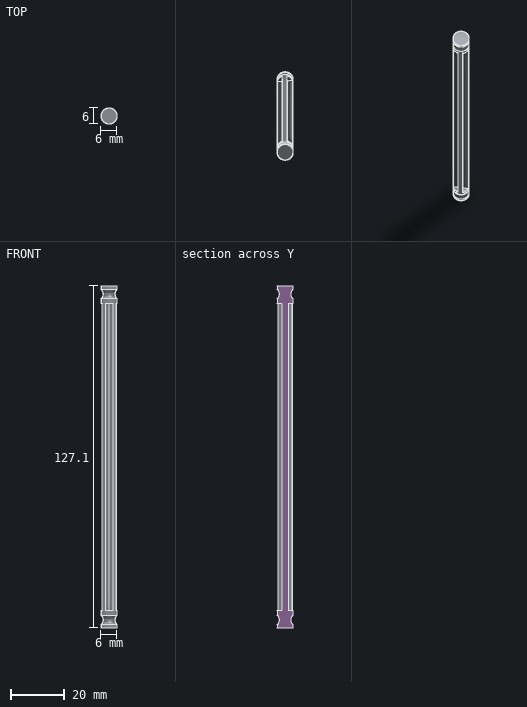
import cadquery as cq
import math

rod_length = 127.08
rod_diameter = 6.0
end_disc_height = 1.35
neck_height = 3.45
neck_diameter = 4.5
collar_height = 1.85
rib_thickness = 1.8
flute_count = 4

rod_radius = rod_diameter / 2
neck_radius = neck_diameter / 2
half_length = rod_length / 2
neck_middle = half_length - end_disc_height - neck_height / 2
flute_length = rod_length - 2 * (end_disc_height + neck_height + collar_height)
flute_root = rib_thickness / math.sqrt(2)


def add_neck(profile, middle):
    """Continue a profile up through a concave neck whose waist is at the given height."""
    return (
        profile
        .lineTo(rod_radius, middle - neck_height / 2)
        .threePointArc((neck_radius, middle), (rod_radius, middle + neck_height / 2))
    )


def necked_rod():
    """Round rod with a concave neck near each end, turned about Z."""
    profile = cq.Workplane("XZ").moveTo(0, -half_length).lineTo(rod_radius, -half_length)
    for middle in (-neck_middle, neck_middle):
        profile = add_neck(profile, middle)
    profile = profile.lineTo(rod_radius, half_length).lineTo(0, half_length).close()
    return profile.revolve(360, (0, 0, 0), (0, 1, 0))


def flute(angle):
    """Right-angled V flute along the rod, opening outward at the given angle."""
    reach = rod_radius
    return (
        cq.Workplane("XY")
        .workplane(offset=-flute_length / 2)
        .moveTo(flute_root, 0)
        .lineTo(flute_root + reach, reach)
        .lineTo(flute_root + reach, -reach)
        .close()
        .extrude(flute_length)
        .rotate((0, 0, 0), (0, 0, 1), angle)
    )


result = necked_rod()
for index in range(flute_count):
    result = result.cut(flute(index * 360 / flute_count))